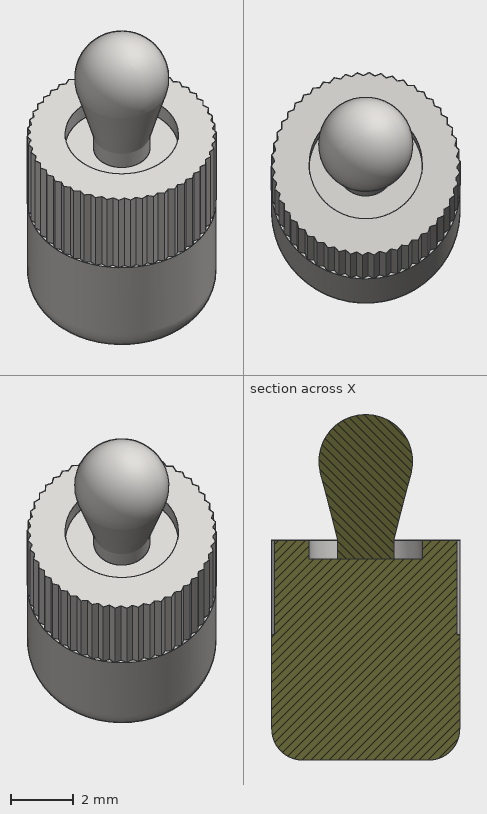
import cadquery as cq
import math

BODY_RADIUS = 3.0
BODY_HEIGHT = 7.0
BOTTOM_FILLET = 1.0
KNURL_BOTTOM = 4.0
KNURL_COUNT = 50
KNURL_TIP_RADIUS = 3.005
KNURL_ROOT_RADIUS = 2.9
RECESS_RADIUS = 1.8
RECESS_DEPTH = 0.6

TOTAL_HEIGHT = 11.0
BALL_RADIUS = 1.5
NECK_RADIUS = 0.9

RECESS_FLOOR = BODY_HEIGHT - RECESS_DEPTH
BALL_CENTER = TOTAL_HEIGHT - BALL_RADIUS
CONE_BOTTOM = BODY_HEIGHT


def knurl_outline():
    """Points of the sawtooth ring: one tip on +X, then roots and tips in turn."""
    half_pitch = math.pi / KNURL_COUNT
    points = []
    for step in range(2 * KNURL_COUNT):
        radius = KNURL_TIP_RADIUS if step % 2 == 0 else KNURL_ROOT_RADIUS
        angle = step * half_pitch
        points.append((radius * math.cos(angle), radius * math.sin(angle)))
    return points


def make_housing():
    cup = cq.Workplane("XY").circle(BODY_RADIUS).extrude(KNURL_BOTTOM)
    cup = cup.faces("<Z").edges().fillet(BOTTOM_FILLET)
    grip = (
        cq.Workplane("XY")
        .workplane(offset=KNURL_BOTTOM)
        .polyline(knurl_outline())
        .close()
        .extrude(BODY_HEIGHT - KNURL_BOTTOM)
    )
    recess = (
        cq.Workplane("XY")
        .workplane(offset=RECESS_FLOOR)
        .circle(RECESS_RADIUS)
        .extrude(RECESS_DEPTH)
    )
    return cup.union(grip).cut(recess)


def ball_point(elevation):
    """Profile point (radius, height) on the ball at an elevation angle from its center."""
    return (
        BALL_RADIUS * math.cos(elevation),
        BALL_CENTER + BALL_RADIUS * math.sin(elevation),
    )


def make_pin():
    corner_drop = BALL_CENTER - CONE_BOTTOM
    corner_distance = math.hypot(NECK_RADIUS, corner_drop)
    corner_elevation = -math.atan2(corner_drop, NECK_RADIUS)
    tangent_elevation = corner_elevation + math.acos(BALL_RADIUS / corner_distance)
    profile = (
        cq.Workplane("XZ")
        .moveTo(0, RECESS_FLOOR)
        .lineTo(NECK_RADIUS, RECESS_FLOOR)
        .lineTo(NECK_RADIUS, CONE_BOTTOM)
        .lineTo(*ball_point(tangent_elevation))
        .threePointArc(ball_point(math.pi / 4), (0, TOTAL_HEIGHT))
        .close()
    )
    return profile.revolve(360, (0, 0, 0), (0, 1, 0))


housing = make_housing()
pin = make_pin()

result = cq.Compound.makeCompound([housing.val(), pin.val()])